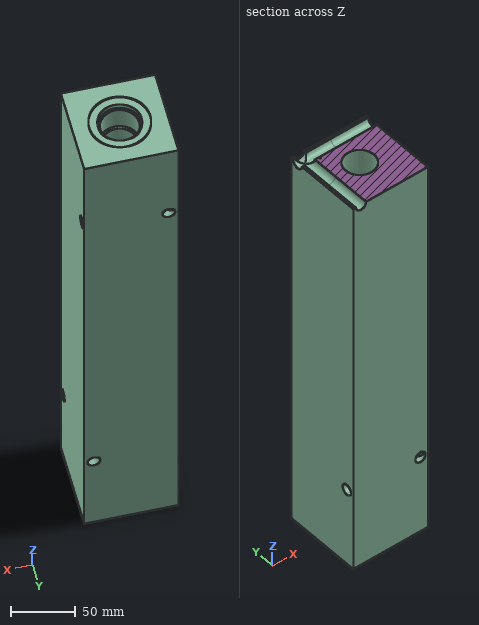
import cadquery as cq

length = 463.5
side = 76.0

bore_diameter = 28.5

spot_face_diameter = 49.0
spot_face_depth = 1.0
mouth_diameter = 35.0
mouth_floor_diameter = 33.5
mouth_depth = 3.2
port_diameter = 31.0
port_depth = 25.5

cross_diameter = 10.0
cross_offset = 30.0
cross_end_distance = 79.3


def bar():
    return cq.Workplane("XY").box(side, side, length, centered=(True, True, False))


def bore_and_port():
    """Revolved cutter; both inner steps are 45 degree cones."""
    bore_radius = bore_diameter / 2
    port_radius = port_diameter / 2
    mouth_floor_radius = mouth_floor_diameter / 2
    spot_face_radius = spot_face_diameter / 2

    spot_face = length - spot_face_depth
    mouth_floor = spot_face - mouth_depth
    port_top = mouth_floor - (mouth_floor_radius - port_radius)
    port_floor = spot_face - port_depth
    bore_top = port_floor - (port_radius - bore_radius)
    return (
        cq.Workplane("XZ")
        .lineTo(bore_radius, 0)
        .lineTo(bore_radius, bore_top)
        .lineTo(port_radius, port_floor)
        .lineTo(port_radius, port_top)
        .lineTo(mouth_floor_radius, mouth_floor)
        .lineTo(mouth_diameter / 2, spot_face)
        .lineTo(spot_face_radius, spot_face)
        .lineTo(spot_face_radius, length)
        .lineTo(0, length)
        .close()
        .revolve(360, (0, 0), (0, 1))
    )


def cross_hole(plane, across, height):
    """Cylinder through the whole bar, normal to the given plane."""
    return (
        cq.Workplane(plane)
        .center(across, height)
        .circle(cross_diameter / 2)
        .extrude(side, both=True)
    )


result = bar().cut(bore_and_port())

for height, shift in (
    (length - cross_end_distance, cross_offset),
    (cross_end_distance, -cross_offset),
):
    result = result.cut(cross_hole("XZ", -shift, height))
    result = result.cut(cross_hole("YZ", shift, height))